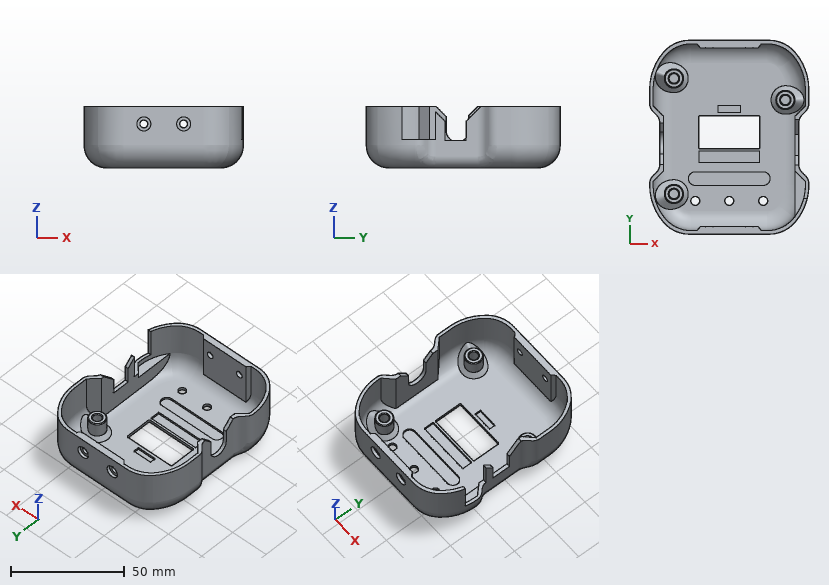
import cadquery as cq
import math

WIDTH = 70.0
LENGTH = 85.3
HEIGHT = 27.0
WALL = 1.5
BOTTOM_RADIUS = 10.0
END_FLAT = 35.0
END_ARC_RADIUS = 15.0
SIDE_ARC_RADIUS = 25.0
END_WALL = 1.6
CAVITY_END_FLAT = 33.4
CAVITY_SIDE_ARC_RADIUS = 23.1

WAIST_DEPTH = 4.4
WAIST_FLAT = 22.35
WAIST_Y = -2.8
WAIST_WALL = 1.8
WAIST_FLANK = 45
WAIST_RADIUS = 5.0

PAD_LENGTH = 25.4
PAD_THICKNESS = 1.7
PAD_BEVEL = 1.45
SCREW_SPACING = 17.5
SCREW_Z = 19.4
SCREW_HOLE = 3.3
SCREW_HEAD = 6.1
SCREW_HEAD_DEPTH = 1.5

CABLE_Y = -2.6
CABLE_WIDTH = 9.8
CABLE_BOTTOM = 11.5
CABLE_MOUTH_FRONT = -11.9
CABLE_MOUTH_BACK = 6.3

PORT_BOTTOM = 12.2
PORT_FRONT = -8.0
PORT_BACK = 1.3
PORT_BEVEL = 6.5
WINDOW_FRONT = -26.9
WINDOW_BACK = -12.1
WINDOW_BOTTOM = 12.5
LEDGE_Z = 10.0

DISPLAY_WIDTH = 26.8
DISPLAY_FRONT = -5.0
DISPLAY_BACK = 9.4
DISPLAY_CORNER = 0.5
POCKET_DEPTH = 1.0
SMALL_POCKET = (10.1, 10.9, 13.9)
LARGE_POCKET = (DISPLAY_WIDTH, -11.2, -6.1)
SLOT_LENGTH = 35.9
SLOT_WIDTH = 6.0
SLOT_Y = -18.2
BUTTON_HOLE = 3.8
BUTTON_SPACING = 14.9
BUTTON_Y = -28.0

BOSS_CENTERS = [(-24.3, 25.85), (-24.3, -24.9), (24.65, 16.4)]
BOSS_DIAMETER = 8.45
BOSS_TOP = 10.9
BOSS_HOLE = 4.2
BOSS_EDGE_BEVEL = 0.4
BOSS_FOOT_RADIUS = 2.05
BOSS_FOOT_STEPS = 48

HALF_WIDTH = WIDTH / 2
HALF_LENGTH = LENGTH / 2
CAVITY_HALF_WIDTH = HALF_WIDTH - WALL
CAVITY_HALF_LENGTH = HALF_LENGTH - END_WALL
CAVITY_RADIUS = BOTTOM_RADIUS - WALL
WAIST_X = HALF_WIDTH - WAIST_DEPTH
WAIST_INNER_X = WAIST_X - WAIST_WALL
INNER_FLAT = WAIST_FLAT + 2 * WAIST_WALL * math.tan(math.radians(WAIST_FLANK / 2))
BOSS_BASE = WALL / 2

EDGE_SLACK = 0.1
MARGIN = 4.3


def box(x0, x1, y0, y1, z0, z1):
    """Block between two corners."""
    return cq.Workplane("XY").box(x1 - x0, y1 - y0, z1 - z0, centered=False).translate((x0, y0, z0))


def side_arc_start(half_width, half_length, end_flat, side_radius):
    """Angle of the joint between the two corner arcs, and Y where the side arc leaves the side."""
    radius_step = side_radius - END_ARC_RADIUS
    joint_angle = math.acos((end_flat / 2 - half_width + side_radius) / radius_step)
    side_y = half_length - END_ARC_RADIUS - radius_step * math.sin(joint_angle)
    return joint_angle, side_y


def outline(half_width, half_length, end_flat, side_radius):
    """Oblong outline whose corners are two tangent arcs each."""
    joint_angle, side_y = side_arc_start(half_width, half_length, end_flat, side_radius)
    end_x = end_flat / 2

    def end_arc(angle):
        return (end_x + END_ARC_RADIUS * math.cos(angle),
                half_length - END_ARC_RADIUS * (1 - math.sin(angle)))

    def side_arc(angle):
        return (half_width - side_radius * (1 - math.cos(angle)),
                side_y + side_radius * math.sin(angle))

    end_mid = end_arc((joint_angle + math.pi / 2) / 2)
    joint = end_arc(joint_angle)
    side_mid = side_arc(joint_angle / 2)

    def at(point, sx, sy):
        return (sx * point[0], sy * point[1])

    path = cq.Workplane("XY").moveTo(half_width, -side_y)
    for sx, sy in [(1, 1), (-1, 1), (-1, -1), (1, -1)]:
        side_start = (sx * half_width, sy * side_y)
        end_start = (sx * end_x, sy * half_length)
        if sx == sy:
            path = path.lineTo(*side_start)
            path = path.threePointArc(at(side_mid, sx, sy), at(joint, sx, sy))
            path = path.threePointArc(at(end_mid, sx, sy), end_start)
        else:
            path = path.lineTo(*end_start)
            path = path.threePointArc(at(end_mid, sx, sy), at(joint, sx, sy))
            path = path.threePointArc(at(side_mid, sx, sy), side_start)
    return path.close()


def waist_prism(side, face_x, flat):
    """Trapezoid that widens from a flat at face_x out past one side of the case."""
    outer_x = HALF_WIDTH + MARGIN
    inner_half = flat / 2
    outer_half = inner_half + (outer_x - face_x) / math.tan(math.radians(WAIST_FLANK))
    points = [(side * face_x, WAIST_Y - inner_half), (side * face_x, WAIST_Y + inner_half),
              (side * outer_x, WAIST_Y + outer_half), (side * outer_x, WAIST_Y - outer_half)]
    return cq.Workplane("XY").polyline(points).close().extrude(HEIGHT)


def outer_body():
    """Solid case with a rounded underside and a waist recess in both sides."""
    plan = outline(HALF_WIDTH, HALF_LENGTH, END_FLAT, SIDE_ARC_RADIUS)
    body = plan.extrude(HEIGHT).faces("<Z").edges().fillet(BOTTOM_RADIUS)
    for side in (-1, 1):
        body = body.cut(waist_prism(side, WAIST_X, WAIST_FLAT))
    reach_y = WAIST_FLAT / 2 + WAIST_DEPTH / math.tan(math.radians(WAIST_FLANK)) + EDGE_SLACK
    for side in (-1, 1):
        near = (side * (WAIST_X - EDGE_SLACK), WAIST_Y - reach_y, 0)
        far = (side * (HALF_WIDTH + EDGE_SLACK), WAIST_Y + reach_y, HEIGHT - EDGE_SLACK)
        body = body.edges(cq.selectors.BoxSelector(near, far)).fillet(WAIST_RADIUS)
    return body


def cavity():
    """Inside space before the waist walls, pads and bosses: open at the rim, with a rounded floor."""
    plan = outline(CAVITY_HALF_WIDTH, CAVITY_HALF_LENGTH, CAVITY_END_FLAT, CAVITY_SIDE_ARC_RADIUS)
    space = plan.extrude(HEIGHT).faces("<Z").edges().fillet(CAVITY_RADIUS)
    return space.translate((0, 0, WALL))


def pad_prism(end):
    """Screw pad with bevelled ends along the inside of one end wall."""
    outer_y = end * CAVITY_HALF_LENGTH
    inner_y = end * (CAVITY_HALF_LENGTH - PAD_THICKNESS)
    half = PAD_LENGTH / 2
    points = [(-half, inner_y), (half, inner_y),
              (half + PAD_BEVEL, outer_y), (-half - PAD_BEVEL, outer_y)]
    return cq.Workplane("XY").polyline(points).close().extrude(HEIGHT)


def screw_holes(end):
    """Screw holes through one end wall, with head recesses from outside."""
    centers = [(-SCREW_SPACING / 2, SCREW_Z), (SCREW_SPACING / 2, SCREW_Z)]
    face = cq.Workplane("XZ", origin=(0, end * HALF_LENGTH, 0))
    depth = end * (END_WALL + PAD_THICKNESS + MARGIN)
    shank = face.pushPoints(centers).circle(SCREW_HOLE / 2).extrude(depth)
    head = face.pushPoints(centers).circle(SCREW_HEAD / 2).extrude(end * SCREW_HEAD_DEPTH)
    return shank.union(head)


def cable_notch():
    """Round-bottomed notch whose mouth opens with 45 degree bevels."""
    front = CABLE_Y - CABLE_WIDTH / 2
    back = CABLE_Y + CABLE_WIDTH / 2
    arc_z = CABLE_BOTTOM + CABLE_WIDTH / 2
    profile = (
        cq.Workplane("YZ", origin=(-HALF_WIDTH - MARGIN, 0, 0))
        .moveTo(CABLE_MOUTH_FRONT, HEIGHT)
        .lineTo(front, HEIGHT - (front - CABLE_MOUTH_FRONT))
        .lineTo(front, arc_z)
        .threePointArc((CABLE_Y, CABLE_BOTTOM), (back, arc_z))
        .lineTo(back, HEIGHT - (CABLE_MOUTH_BACK - back))
        .lineTo(CABLE_MOUTH_BACK, HEIGHT)
        .close()
    )
    return profile.extrude(HALF_WIDTH - WAIST_INNER_X + 2 * MARGIN)


def port_notch():
    """Port notch; its front bevel runs on until it meets the window."""
    bevel_z = HEIGHT - PORT_BEVEL
    profile = cq.Workplane("YZ", origin=(WAIST_INNER_X - MARGIN, 0, 0)).polyline([
        (PORT_FRONT, PORT_BOTTOM), (PORT_BACK, PORT_BOTTOM), (PORT_BACK, bevel_z),
        (PORT_BACK + PORT_BEVEL, HEIGHT), (PORT_FRONT - PORT_BEVEL, HEIGHT), (PORT_FRONT, bevel_z),
    ]).close()
    return profile.extrude(HALF_WIDTH)


def window():
    """Opening in the front corner of the +X side."""
    return box(WAIST_INNER_X - MARGIN, HALF_WIDTH + MARGIN, WINDOW_FRONT, WINDOW_BACK, WINDOW_BOTTOM, HEIGHT)


def floor_cut():
    """Display opening and button holes through the floor, and the pockets in its upper face."""
    half = DISPLAY_WIDTH / 2
    cut = box(-half, half, DISPLAY_FRONT, DISPLAY_BACK, 0, WALL).edges("|Z").fillet(DISPLAY_CORNER)
    pocket_z = WALL - POCKET_DEPTH
    for width, front, back in (SMALL_POCKET, LARGE_POCKET):
        cut = cut.union(box(-width / 2, width / 2, front, back, pocket_z, WALL))
    slot = cq.Workplane("XY", origin=(0, SLOT_Y, pocket_z)).slot2D(SLOT_LENGTH, SLOT_WIDTH)
    cut = cut.union(slot.extrude(POCKET_DEPTH))
    centers = [(i * BUTTON_SPACING, BUTTON_Y) for i in (-1, 0, 1)]
    return cut.union(cq.Workplane("XY").pushPoints(centers).circle(BUTTON_HOLE / 2).extrude(WALL))


def boss_post(x, y):
    """Round post with a bevelled top edge."""
    post = cq.Workplane("XY", origin=(x, y, BOSS_BASE)).circle(BOSS_DIAMETER / 2)
    return post.extrude(BOSS_TOP - BOSS_BASE).faces(">Z").chamfer(BOSS_EDGE_BEVEL)


def foot_line(x, y, angle):
    """Upper and lower end of the foot's straight flank in one direction around a boss.

    They are the points where a ball of BOSS_FOOT_RADIUS, resting in the corner between the boss
    and the rounded floor, touches the boss and the floor.
    """
    side_center_x = CAVITY_HALF_WIDTH - CAVITY_SIDE_ARC_RADIUS
    flat_radius = CAVITY_SIDE_ARC_RADIUS - CAVITY_RADIUS
    _, side_y = side_arc_start(
        CAVITY_HALF_WIDTH, CAVITY_HALF_LENGTH, CAVITY_END_FLAT, CAVITY_SIDE_ARC_RADIUS)

    ball_reach = BOSS_DIAMETER / 2 + BOSS_FOOT_RADIUS
    ball_x = x + ball_reach * math.cos(angle)
    ball_y = y + ball_reach * math.sin(angle)

    from_x = abs(ball_x) - side_center_x
    from_y = max(0, abs(ball_y) - side_y)
    span = math.hypot(from_x, from_y)
    beyond_flat = max(0, span - flat_radius)
    out_x = math.copysign(from_x / span, ball_x)
    out_y = math.copysign(from_y / span, ball_y)

    track_radius = CAVITY_RADIUS - BOSS_FOOT_RADIUS
    drop = math.sqrt(track_radius ** 2 - beyond_flat ** 2)
    ball_z = WALL + CAVITY_RADIUS - drop
    to_floor = BOSS_FOOT_RADIUS / track_radius
    upper = cq.Vector(x + BOSS_DIAMETER / 2 * math.cos(angle),
                      y + BOSS_DIAMETER / 2 * math.sin(angle), ball_z)
    lower = cq.Vector(ball_x + out_x * beyond_flat * to_floor,
                      ball_y + out_y * beyond_flat * to_floor, ball_z - drop * to_floor)
    overlap = (lower - upper).normalized() * EDGE_SLACK
    return upper - overlap, lower + overlap


def boss_foot(x, y):
    """Ring with a straight flared flank, reaching down into the floor."""
    lines = [foot_line(x, y, 2 * math.pi * i / BOSS_FOOT_STEPS) for i in range(BOSS_FOOT_STEPS)]

    def loop(points):
        return cq.Edge.makeSpline(points, periodic=True)

    def dropped(points):
        return [cq.Vector(p.x, p.y, BOSS_BASE) for p in points]

    upper, lower = ([line[end] for line in lines] for end in (0, 1))
    upper_loop, lower_loop = loop(upper), loop(lower)
    inner_base, outer_base = loop(dropped(upper)), loop(dropped(lower))
    faces = [
        cq.Face.makeRuledSurface(upper_loop, lower_loop),
        cq.Face.makeRuledSurface(lower_loop, outer_base),
        cq.Face.makeRuledSurface(upper_loop, inner_base),
        cq.Face.makeFromWires(cq.Wire.assembleEdges([outer_base]), [cq.Wire.assembleEdges([inner_base])]),
    ]
    foot = cq.Solid.makeSolid(cq.Shell.makeShell(faces))
    return cq.Workplane("XY").newObject([foot.fix()])


def boss_hole(x, y):
    """Hole with a bevelled mouth."""
    hole = cq.Workplane("XY", origin=(x, y, 0)).circle(BOSS_HOLE / 2).extrude(BOSS_TOP)
    mouth = (
        cq.Workplane("XY", origin=(x, y, BOSS_TOP - BOSS_EDGE_BEVEL))
        .circle(BOSS_HOLE / 2)
        .workplane(offset=BOSS_EDGE_BEVEL)
        .circle(BOSS_HOLE / 2 + BOSS_EDGE_BEVEL)
        .loft()
    )
    return hole.union(mouth)


outer = outer_body()
space = cavity()
case = outer.cut(space)

for x, y in BOSS_CENTERS:
    case = case.union(boss_post(x, y).intersect(outer))
    case = case.union(boss_foot(x, y).intersect(outer))
    case = case.cut(boss_hole(x, y).intersect(space))

fillers = [
    waist_prism(-1, WAIST_INNER_X, INNER_FLAT),
    waist_prism(1, WAIST_INNER_X, INNER_FLAT),
    pad_prism(-1),
    pad_prism(1),
    box(WAIST_INNER_X, HALF_WIDTH, -HALF_LENGTH, WAIST_Y, 0, LEDGE_Z),
]
for filler in fillers:
    case = case.union(filler.intersect(outer))

for cutter in (screw_holes(-1), screw_holes(1), cable_notch(), port_notch(), window(), floor_cut()):
    case = case.cut(cutter)

result = case.solids()